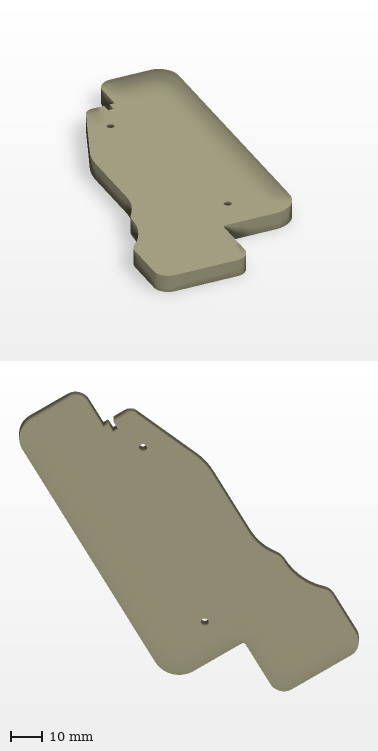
import cadquery as cq
import math

length = 120.0
width = 60.0
thickness = 6.0
arm_bottom = 34.0
body_left = 14.0
body_right = 98.6
shoulder_y = 32.2
belly_y = 12.1

slope_start_y = 23.6
slope_end_x = 42.0

corner_radius = 5.0
top_left_radius = 7.0
top_right_radius = 9.0
shoulder_radius = 1.0
slope_start_radius = 3.4
slope_end_radius = 20.0

first_step_x = 68.9
middle_y = 7.5
first_crest_radius = 18.0
first_foot_radius = 5.9
second_crest_radius = 20.0
second_foot_radius = 5.0

slot_bottom = 30.2
slot_height = 1.9
slot_depth = 3.0
hole_diameter = 2.5
hole_centers = [(26.4, 26.6), (86.5, 39.6)]


def s_step(path, x, y, crest_radius, foot_radius, drop):
    """Descend with two tangent arcs, level at both ends; return the path and its end x."""
    angle = math.acos(1 - drop / (crest_radius + foot_radius))

    def arc_offset(radius, turn):
        return radius * math.sin(turn), radius * (1 - math.cos(turn))

    crest_mid = arc_offset(crest_radius, angle / 2)
    crest_end = arc_offset(crest_radius, angle)
    foot_mid = arc_offset(foot_radius, angle / 2)
    foot_end = arc_offset(foot_radius, angle)
    end_x = x + crest_end[0] + foot_end[0]
    end_y = y - drop
    path = path.threePointArc(
        (x + crest_mid[0], y - crest_mid[1]),
        (x + crest_end[0], y - crest_end[1]),
    )
    path = path.threePointArc((end_x - foot_mid[0], end_y + foot_mid[1]), (end_x, end_y))
    return path, end_x


def make_blank():
    """Extrude the outline with sharp corners and finished S-shaped steps."""
    path = (
        cq.Workplane("XY")
        .moveTo(0, width)
        .lineTo(0, arm_bottom)
        .lineTo(body_left, arm_bottom)
        .lineTo(body_left, slope_start_y)
        .lineTo(slope_end_x, belly_y)
        .lineTo(first_step_x, belly_y)
    )
    first_drop = belly_y - middle_y
    path, second_step_x = s_step(
        path, first_step_x, belly_y, first_crest_radius, first_foot_radius, first_drop
    )
    path, _ = s_step(path, second_step_x, middle_y, second_crest_radius, second_foot_radius, middle_y)
    return (
        path.lineTo(length, 0)
        .lineTo(length, shoulder_y)
        .lineTo(body_right, shoulder_y)
        .lineTo(body_right, width)
        .close()
        .extrude(thickness)
    )


def round_corner(body, x, y, radius):
    """Round the vertical edge at the given outline corner."""
    corner = cq.selectors.NearestToPointSelector((x, y, thickness / 2))
    return body.edges("|Z").edges(corner).fillet(radius)


rounded_corners = [
    (0, width, top_left_radius),
    (0, arm_bottom, corner_radius),
    (body_left, slope_start_y, slope_start_radius),
    (slope_end_x, belly_y, slope_end_radius),
    (length, 0, corner_radius),
    (length, shoulder_y, corner_radius),
    (body_right, shoulder_y, shoulder_radius),
    (body_right, width, top_right_radius),
]

result = make_blank()
for corner_x, corner_y, radius in rounded_corners:
    result = round_corner(result, corner_x, corner_y, radius)

slot = cq.Workplane("XY").box(slot_depth, slot_height, thickness, centered=False)
result = result.cut(slot.translate((body_left, slot_bottom, 0)))

holes = cq.Workplane("XY").pushPoints(hole_centers).circle(hole_diameter / 2).extrude(thickness)
result = result.cut(holes)